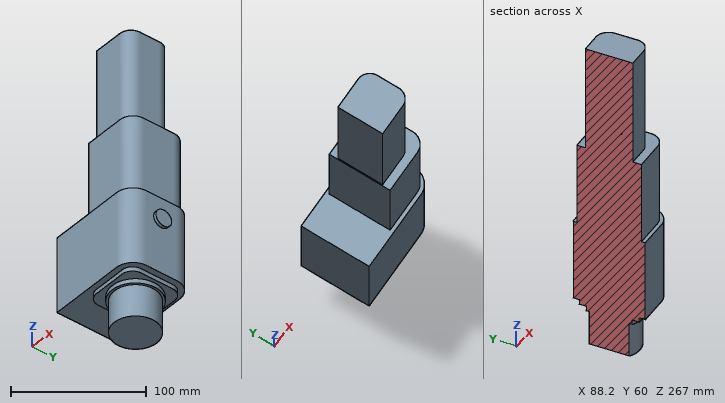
import cadquery as cq

total_height = 267.0

body_length = 85.5
body_width = 60.0
body_corner_radius = 15.5
body_height = 70.0

middle_inset = 3.2
middle_back_x = 33.0
middle_height = 70.0

column_back_x = 34.0
column_length = 37.7
column_width = 39.5
column_corner_radius = 10.5

spigot_x = 55.0
spigot_diameter = 40.0
spigot_length = 29.5
collar_diameter = 44.0
collar_thickness = 4.0
flange_size = 50.0
flange_corner_radius = 10.0
flange_thickness = 4.0

button_diameter = 15.0
button_height = 2.7
button_z = 87.3

collar_z = spigot_length
flange_z = collar_z + collar_thickness
body_z = flange_z + flange_thickness
middle_z = body_z + body_height
column_z = middle_z + middle_height


def front_rounded_block(back_x, length, width, corner_radius, base_z, height):
    """Upright block with rounded vertical edges on its +X face only."""
    return (
        cq.Workplane("XY", origin=(back_x, 0, base_z))
        .rect(length, width).extrude(height)
        .translate((length / 2, 0, 0))
        .edges("|Z and >X").fillet(corner_radius)
    )


def spigot_disc(diameter, base_z, height):
    """Cylinder on the spigot axis."""
    return cq.Workplane("XY", origin=(spigot_x, 0, base_z)).circle(diameter / 2).extrude(height)


body = front_rounded_block(0, body_length, body_width, body_corner_radius, body_z, body_height)
middle = front_rounded_block(
    middle_back_x,
    body_length - middle_inset - middle_back_x,
    body_width - 2 * middle_inset,
    body_corner_radius - middle_inset,
    middle_z,
    middle_height,
)
column = front_rounded_block(
    column_back_x, column_length, column_width, column_corner_radius, column_z, total_height - column_z
)

flange = (
    cq.Workplane("XY", origin=(spigot_x, 0, flange_z))
    .rect(flange_size, flange_size).extrude(flange_thickness)
    .edges("|Z").fillet(flange_corner_radius)
)
collar = spigot_disc(collar_diameter, collar_z, collar_thickness)
spigot = spigot_disc(spigot_diameter, 0, spigot_length)

button = (
    cq.Workplane("YZ", origin=(body_length, 0, button_z))
    .circle(button_diameter / 2).extrude(button_height)
)

result = body.union(middle).union(column).union(flange).union(collar).union(spigot).union(button)